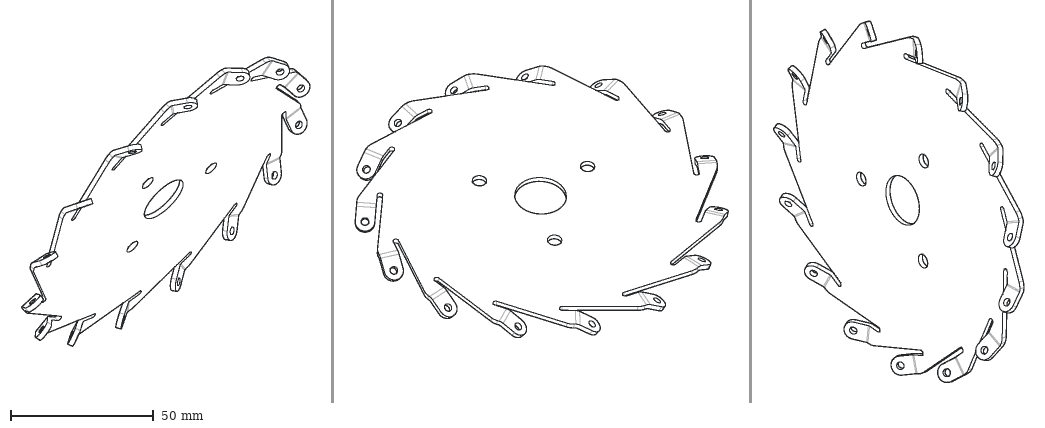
import cadquery as cq
import math

thickness = 1.9
bore_diameter = 18.1
bolt_hole_diameter = 5.0
bolt_count = 3
bolt_circle_radius = 22.5
first_bolt_angle = -4.9

tooth_count = 15
tooth_pitch = 360 / tooth_count
slot_end_radius = 56.3
slot_width = 1.9
slot_lean = 5.8
shoulder_radius = 6.0

tab_width = 6.9
tab_hole_diameter = 2.7
bend_start = 4.5
bend_angle = 32.5
bend_inner_radius = 0.9
bend_to_hole = 5.3

disc_spin = -126.6
disc_tilt = 119
disc_turn = 14.3

slot_inner_edge = -slot_width / 2
slot_outer_edge = slot_width / 2
tab_outer_side = slot_outer_edge + tab_width
tab_middle = slot_outer_edge + tab_width / 2
bend_outer_radius = bend_inner_radius + thickness


def polar(radius, angle):
    turn = math.radians(angle)
    return (radius * math.cos(turn), radius * math.sin(turn))


def disc_point(tooth, along, outward):
    """Turn a point of a tooth's own frame into disc coordinates."""
    frame_angle = tooth * tooth_pitch + slot_lean - 90
    end_x, end_y = polar(slot_end_radius, tooth * tooth_pitch)
    along_x, along_y = polar(along, frame_angle)
    outward_x, outward_y = polar(outward, frame_angle + 90)
    return (end_x + along_x + outward_x, end_y + along_y + outward_y)


def shoulder_corner():
    """Where the tab's outer side meets the next slot's inner edge: distance along each of them."""
    pitch = math.radians(tooth_pitch)
    chord = 2 * slot_end_radius * math.sin(pitch / 2)
    next_x, next_y = polar(chord, 180 - slot_lean + tooth_pitch / 2)
    rise = tab_outer_side - next_y - slot_inner_edge * math.cos(pitch)
    along_edge = rise / math.sin(pitch)
    along_tab = next_x + along_edge * math.cos(pitch) - slot_inner_edge * math.sin(pitch)
    return along_tab, along_edge


def make_disc():
    """Disc with its outer face on Z = 0, each tooth cut off square where its bend begins."""
    along_tab, along_edge = shoulder_corner()
    setback = shoulder_radius * math.tan(math.radians(tooth_pitch / 2))
    outline = cq.Workplane("XY").moveTo(*disc_point(0, 0, slot_inner_edge))
    for tooth in range(tooth_count):
        outline = (
            outline.threePointArc(
                disc_point(tooth, -slot_width / 2, 0), disc_point(tooth, 0, slot_outer_edge)
            )
            .lineTo(*disc_point(tooth, bend_start, slot_outer_edge))
            .lineTo(*disc_point(tooth, bend_start, tab_outer_side))
            .lineTo(*disc_point(tooth, along_tab + setback, tab_outer_side))
            .tangentArcPoint(
                disc_point(tooth + 1, along_edge - setback, slot_inner_edge), relative=False
            )
            .lineTo(*disc_point(tooth + 1, 0, slot_inner_edge))
        )
    disc = outline.close().extrude(thickness)
    bore = cq.Workplane("XY").circle(bore_diameter / 2).extrude(thickness)
    bolt_holes = (
        cq.Workplane("XY")
        .polarArray(bolt_circle_radius, first_bolt_angle, 360, bolt_count)
        .circle(bolt_hole_diameter / 2)
        .extrude(thickness)
    )
    return disc.cut(bore).cut(bolt_holes)


def bend_point(radius, angle):
    """Point of the bend's side profile, with the angle counted from where the bend begins."""
    x, z = polar(radius, angle - 90)
    return (bend_start + x, bend_outer_radius + z)


def make_tab():
    """One tab with its bend, in its tooth's own frame."""
    bend_end = bend_point(bend_outer_radius, bend_angle)
    bend = (
        cq.Workplane("XZ", origin=(0, tab_outer_side, 0))
        .moveTo(bend_start, 0)
        .threePointArc(bend_point(bend_outer_radius, bend_angle / 2), bend_end)
        .lineTo(*bend_point(bend_inner_radius, bend_angle))
        .threePointArc(bend_point(bend_inner_radius, bend_angle / 2), (bend_start, thickness))
        .close()
        .extrude(tab_width)
    )
    along_x, along_z = polar(1, bend_angle)
    flat_plane = cq.Plane(
        origin=(bend_end[0], tab_middle, bend_end[1]),
        xDir=(along_x, 0, along_z),
        normal=(-along_z, 0, along_x),
    )
    flat = (
        cq.Workplane(flat_plane)
        .moveTo(0, -tab_width / 2)
        .lineTo(bend_to_hole, -tab_width / 2)
        .threePointArc((bend_to_hole + tab_width / 2, 0), (bend_to_hole, tab_width / 2))
        .lineTo(0, tab_width / 2)
        .close()
        .moveTo(bend_to_hole, 0)
        .circle(tab_hole_diameter / 2)
        .extrude(thickness)
    )
    return bend.union(flat)


def make_wheel():
    wheel = make_disc()
    tab = (
        make_tab()
        .rotate((0, 0, 0), (0, 0, 1), slot_lean - 90)
        .translate((slot_end_radius, 0, 0))
    )
    for tooth in range(tooth_count):
        wheel = wheel.union(tab.rotate((0, 0, 0), (0, 0, 1), tooth * tooth_pitch))
    return wheel


result = (
    make_wheel()
    .rotate((0, 0, 0), (0, 0, 1), disc_spin)
    .rotate((0, 0, 0), (0, 1, 0), disc_tilt)
    .rotate((0, 0, 0), (0, 0, 1), disc_turn)
)